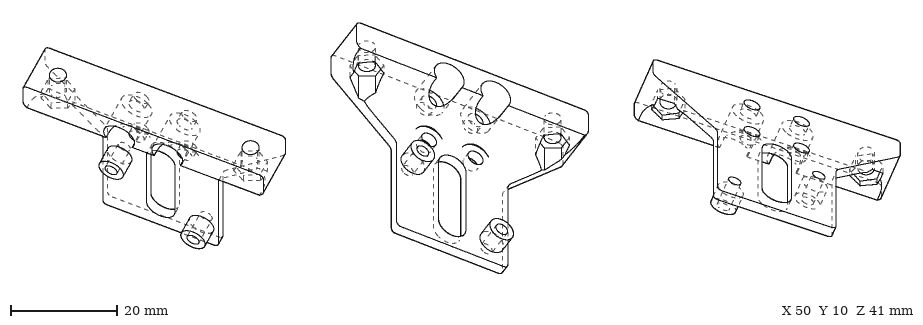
import cadquery as cq
import math

bar_length = 50
bar_depth = 10
bar_height = 6.7
total_height = 41
plate_thickness = 2.1
plate_width = 24
gusset_start = 5.85
gusset_end = gusset_start + (bar_length - plate_width) / 2
corner_radius = 1
bend_radius = 2
cove_radius = 6.8

mount_hole_diameter = 3.2
counterbore_diameter = 6.4
mount_pitch = 10
mount_rows = (-5, -15)

bolt_spacing = 40
bolt_hole_diameter = mount_hole_diameter
nut_corner_diameter = 6.4
nut_ceiling = -5

slot_width = 5.9
slot_top = -17
slot_bottom = -38
standoff_diameter = 5.1
standoff_hole_diameter = 2.5
standoff_end = 6
standoff_centres = ((-8.5, -23.05), (8.5, -35.7))


def front_plane(distance):
    """Plane facing forward (-Y), at a distance in front of the back face."""
    return cq.Workplane("XZ", origin=(0, -distance, 0))


def make_body():
    half_bar = bar_length / 2
    half_plate = plate_width / 2
    outline = (
        front_plane(0)
        .moveTo(-half_bar, 0)
        .lineTo(half_bar, 0)
        .lineTo(half_bar, -gusset_start)
        .lineTo(half_plate, -gusset_end)
        .lineTo(half_plate, -total_height)
        .lineTo(-half_plate, -total_height)
        .lineTo(-half_plate, -gusset_end)
        .lineTo(-half_bar, -gusset_start)
        .close()
        .extrude(bar_depth)
    )
    outline = outline.edges("|Y and (>Z or <Z)").edges("|Y").fillet(corner_radius)
    bends = cq.selectors.BoxSelector(
        (-half_bar - 0.5, -bar_depth - 0.5, -gusset_end - 0.5),
        (half_bar + 0.5, 0.5, -gusset_start + 0.5),
    )
    outline = outline.edges("|Y").edges(bends).fillet(bend_radius)

    cove_bottom = bar_height + cove_radius
    diagonal = cove_radius * math.sqrt(0.5)
    profile = (
        cq.Workplane("YZ", origin=(-half_bar, 0, 0))
        .lineTo(-bar_depth, 0)
        .lineTo(-bar_depth, -bar_height)
        .lineTo(-plate_thickness - cove_radius, -bar_height)
        .threePointArc(
            (-plate_thickness - cove_radius + diagonal, -cove_bottom + diagonal),
            (-plate_thickness, -cove_bottom),
        )
        .lineTo(-plate_thickness, -total_height)
        .lineTo(0, -total_height)
        .close()
        .extrude(bar_length)
    )
    return outline.intersect(profile)


def cut_mount_holes(body):
    centres = [(side * mount_pitch / 2, z) for side in (-1, 1) for z in mount_rows]
    holes = front_plane(0).pushPoints(centres).circle(mount_hole_diameter / 2).extrude(bar_depth)
    counterbores = (
        front_plane(plate_thickness)
        .pushPoints(centres)
        .circle(counterbore_diameter / 2)
        .extrude(bar_depth)
    )
    return body.cut(holes).cut(counterbores)


def cut_bolt_holes(body):
    centres = [(side * bolt_spacing / 2, -bar_depth / 2) for side in (-1, 1)]
    holes = cq.Workplane("XY").pushPoints(centres).circle(bolt_hole_diameter / 2).extrude(-total_height)
    body = body.cut(holes)
    for x, y in centres:
        nut_pocket = (
            cq.Workplane("XY", origin=(x, y, nut_ceiling))
            .transformed(rotate=(0, 0, 90))
            .polygon(6, nut_corner_diameter)
            .extrude(-total_height)
        )
        body = body.cut(nut_pocket)
    return body


def cut_slot(body):
    slot = (
        front_plane(0)
        .center(0, (slot_top + slot_bottom) / 2)
        .slot2D(slot_top - slot_bottom, slot_width, 90)
        .extrude(bar_depth)
    )
    return body.cut(slot)


def add_standoffs(body):
    posts = front_plane(0).pushPoints(standoff_centres).circle(standoff_diameter / 2).extrude(standoff_end)
    holes = (
        front_plane(0)
        .pushPoints(standoff_centres)
        .circle(standoff_hole_diameter / 2)
        .extrude(standoff_end)
    )
    return body.union(posts).cut(holes)


result = make_body()
result = cut_mount_holes(result)
result = cut_bolt_holes(result)
result = cut_slot(result)
result = add_standoffs(result)